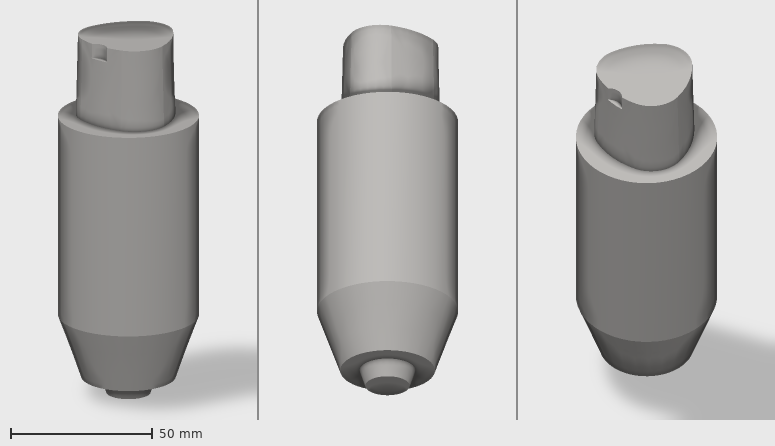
import cadquery as cq
import math

total_height = 133.0
body_diameter = 50.0
shank_height = 29.8
nose_height = 23.1
tip_height = 6.0
shoulder_z = total_height - shank_height

nose_end_diameter = 33.5
tip_top_diameter = 19.8
tip_end_diameter = 15.7

lobe_reach = 18.8
flank_reach = 16.4
lobe_radius = 12.1
lobe_count = 3
shank_taper_angle = math.degrees(math.atan(1 / 40))

notch_radius = 4.7
notch_floor_y = -13.8
notch_depth = 5.3


def polar(radius, angle):
    return radius * math.cos(angle), radius * math.sin(angle)


def make_body():
    """Revolve the cylindrical body with its nose and tip cones."""
    body_radius = body_diameter / 2
    nose_bottom_z = tip_height
    nose_top_z = tip_height + nose_height
    return (
        cq.Workplane("XZ")
        .lineTo(tip_end_diameter / 2, 0)
        .lineTo(tip_top_diameter / 2, nose_bottom_z)
        .lineTo(nose_end_diameter / 2, nose_bottom_z)
        .lineTo(body_radius, nose_top_z)
        .lineTo(body_radius, shoulder_z)
        .lineTo(0, shoulder_z)
        .close()
        .revolve(360, (0, 0, 0), (0, 1, 0))
    )


def make_shank():
    """Extrude the three-lobed outline upward with a slight inward taper."""
    sector = 2 * math.pi / lobe_count
    lobe_offset = lobe_reach - lobe_radius
    lobe_along = lobe_offset * math.cos(sector / 2)
    lobe_across = lobe_offset * math.sin(sector / 2)

    flank_gap = flank_reach - lobe_along
    flank_radius = (flank_gap**2 + lobe_across**2 - lobe_radius**2) / (2 * (flank_gap - lobe_radius))

    normal_angle = math.asin(lobe_across / (flank_radius - lobe_radius))
    seam_along = lobe_along + lobe_radius * math.cos(normal_angle)
    seam_across = lobe_across + lobe_radius * math.sin(normal_angle)
    seam_distance = math.hypot(seam_along, seam_across)
    seam_angle = math.atan2(seam_across, seam_along)

    first_flank = -math.pi / 2
    outline = cq.Workplane("XY").workplane(offset=shoulder_z)
    outline = outline.moveTo(*polar(seam_distance, first_flank - seam_angle))
    for index in range(lobe_count):
        flank = first_flank + index * sector
        flank_end = polar(seam_distance, flank + seam_angle)
        lobe_end = polar(seam_distance, flank + sector - seam_angle)
        outline = outline.threePointArc(polar(flank_reach, flank), flank_end)
        outline = outline.threePointArc(polar(lobe_reach, flank + sector / 2), lobe_end)
    return outline.close().extrude(shank_height, taper=shank_taper_angle)


def make_notch():
    """Upright cylinder that scoops the key notch."""
    return (
        cq.Workplane("XY")
        .workplane(offset=total_height - notch_depth)
        .center(0, notch_floor_y - notch_radius)
        .circle(notch_radius)
        .extrude(notch_depth)
    )


result = make_body().union(make_shank()).cut(make_notch())